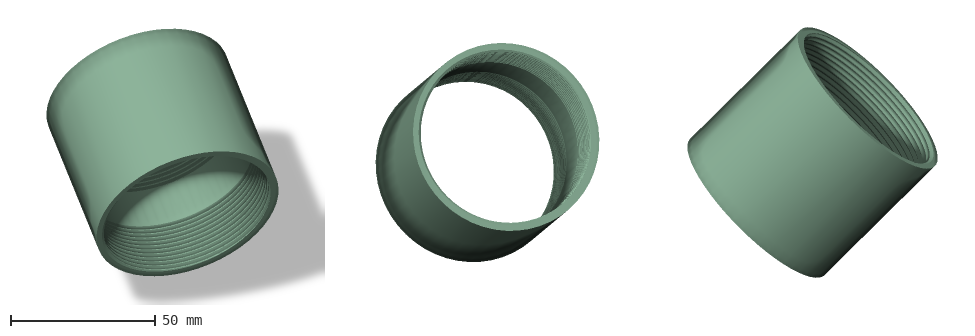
import cadquery as cq

length = 56.0
outer_diameter = 66.3
bore_diameter = 60.45

thread_length = 19.95
turns_per_end = 11
thread_depth = 0.9
thread_pitch = thread_length / turns_per_end
lead_in_turns = 1
groove_mouth = 1.5
groove_root = 0.2
cutter_overlap = 0.2
start_angle = 250.0


def tube():
    """Plain tube standing on Z, centred on the origin."""
    return (
        cq.Workplane("XY")
        .circle(outer_diameter / 2)
        .circle(bore_diameter / 2)
        .extrude(length)
        .translate((0, 0, -length / 2))
    )


def thread_cutter():
    """Left-hand helical groove that starts outside the lower end."""
    bore_radius = bore_diameter / 2
    inner_radius = bore_radius - cutter_overlap
    root_radius = bore_radius + thread_depth
    flank_slope = (groove_mouth - groove_root) / (2 * thread_depth)
    half_inner = groove_mouth / 2 + cutter_overlap * flank_slope
    half_root = groove_root / 2
    helix_height = thread_pitch * (turns_per_end + lead_in_turns)
    path = cq.Wire.makeHelix(thread_pitch, helix_height, bore_radius, lefthand=True)
    groove = (
        cq.Workplane("XZ")
        .moveTo(inner_radius, -half_inner)
        .lineTo(root_radius, -half_root)
        .lineTo(root_radius, half_root)
        .lineTo(inner_radius, half_inner)
        .close()
        .sweep(cq.Workplane(path), isFrenet=True)
    )
    start_height = -length / 2 - lead_in_turns * thread_pitch
    return groove.translate((0, 0, start_height)).rotate((0, 0, 0), (0, 0, 1), start_angle)


lower_thread = thread_cutter()
upper_thread = lower_thread.mirror("XY")
coupling = tube().cut(lower_thread).cut(upper_thread)

result = coupling.rotate((0, 0, 0), (0, 1, 0), 90)